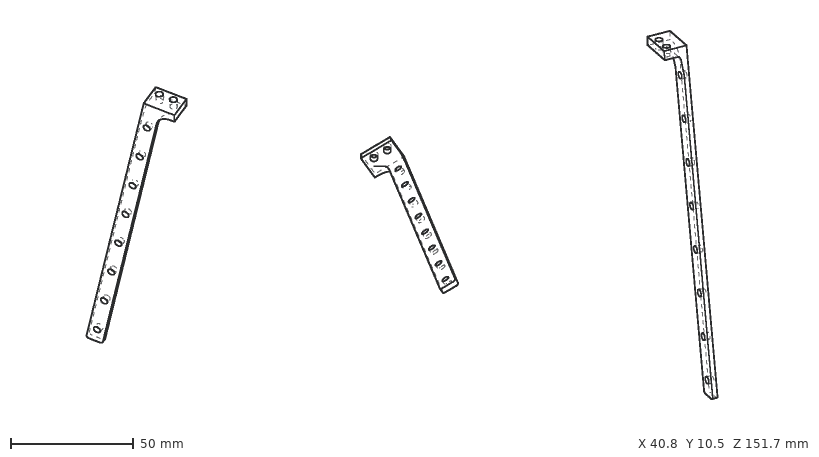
import cadquery as cq
import math

height = 151.7
depth = 10.5
length = 40.8

lean_angle = 10.0
arm_width = 7.6
arm_thickness = 2.3
end_radius = 1.2

flange_thickness = 4.0
side_fillet = 6.7
gusset_foot = 139.6
gusset_thickness = 3.3
back_fillet = 1.8

hole_diameter = 3.0
arm_hole_count = 8
arm_hole_pitch = 19.0
first_hole_x = 4.9
first_hole_z = 7.0
flange_hole_x = (29.7, 36.3)
flange_hole_y = 7.6

slope = math.tan(math.radians(lean_angle))
corner_half_angle = math.radians((90 - lean_angle) / 2)
corner_x = end_radius - end_radius / math.tan(corner_half_angle)
underside = height - flange_thickness


def left_edge(z):
    """X position of the leaning left edge at height z."""
    return corner_x + z * slope


def leaning_outline():
    """Front outline of the arm and flange, extruded to the full depth."""
    outline = [
        (left_edge(0), 0),
        (left_edge(0) + arm_width, 0),
        (left_edge(underside) + arm_width, underside),
        (length, underside),
        (length, height),
        (left_edge(height), height),
    ]
    body = cq.Workplane("XZ").polyline(outline).close().extrude(-depth)
    body = body.faces("<Z").edges("|Y").fillet(end_radius)
    inner_corner = cq.selectors.NearestToPointSelector(
        (left_edge(underside) + arm_width, depth / 2, underside)
    )
    return body.edges("|Y").edges(inner_corner).fillet(side_fillet)


def side_profile():
    """L-shaped side outline with the gusset, extruded across the full length."""
    outline = [
        (0, 0),
        (arm_thickness, 0),
        (arm_thickness, gusset_foot),
        (gusset_thickness, underside),
        (depth, underside),
        (depth, height),
        (0, height),
    ]
    profile = cq.Workplane("YZ").polyline(outline).close().extrude(length)
    inner_corner = cq.selectors.NearestToPointSelector((length / 2, gusset_thickness, underside))
    return profile.edges("|X").edges(inner_corner).fillet(back_fillet)


def arm_holes():
    """Row of holes through the arm, parallel to its leaning edges."""
    lean = math.radians(lean_angle)
    centers = []
    for index in range(arm_hole_count):
        distance = index * arm_hole_pitch
        x = first_hole_x + distance * math.sin(lean)
        z = first_hole_z + distance * math.cos(lean)
        centers.append((x, z))
    return cq.Workplane("XZ").pushPoints(centers).circle(hole_diameter / 2).extrude(-depth)


def flange_holes():
    """Vertical holes through the flange behind the arm."""
    centers = [(x, flange_hole_y) for x in flange_hole_x]
    plane = cq.Workplane("XY", origin=(0, 0, underside))
    return plane.pushPoints(centers).circle(hole_diameter / 2).extrude(flange_thickness)


result = leaning_outline().intersect(side_profile()).cut(arm_holes()).cut(flange_holes())